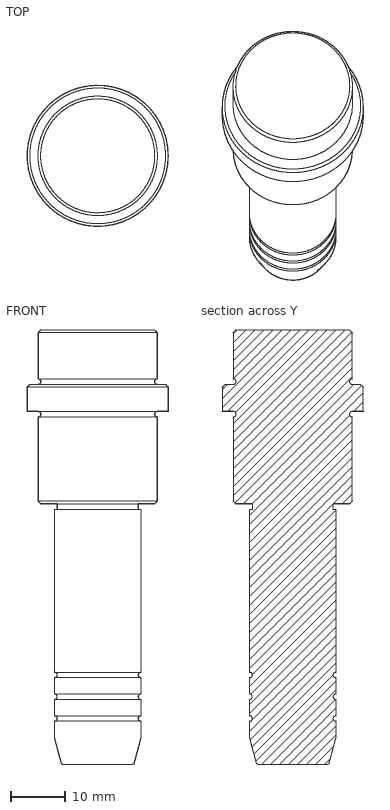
import cadquery as cq
import math

total_length = 80.0

body_radius = 11.0
collar_radius = 13.0
head_height = 10.0
collar_height = 5.0
body_height = 17.0
edge_chamfer = 0.5

shank_radius = 8.0
neck_depth = 0.5
neck_height = 1.0

taper_height = 5.0
taper_angle = 15.0
tip_fillet = 0.5

groove_radius = 0.5
shank_groove_pitch = 4.0
shank_groove_count = 3
lowest_groove_gap = 3.0

collar_top = total_length - head_height
collar_bottom = collar_top - collar_height
body_bottom = collar_bottom - body_height
tip_radius = shank_radius - taper_height * math.tan(math.radians(taper_angle))


def disc(radius, bottom, height):
    """Cylinder on the Z axis, standing on the given level."""
    return cq.Workplane("XY").workplane(offset=bottom).circle(radius).extrude(height)


def round_groove(surface_radius, level):
    """Ring of circular section centred on a cylinder's surface."""
    return cq.Workplane("XY").add(
        cq.Solid.makeTorus(surface_radius, groove_radius, cq.Vector(0, 0, level))
    )


def make_head():
    head = disc(body_radius, collar_top, head_height).faces(">Z").chamfer(edge_chamfer)
    return head.cut(round_groove(body_radius, collar_top + groove_radius))


def make_collar():
    return disc(collar_radius, collar_bottom, collar_height).faces(">Z").chamfer(edge_chamfer)


def make_body():
    body = disc(body_radius, body_bottom, body_height).faces("<Z").chamfer(edge_chamfer)
    return body.cut(round_groove(body_radius, collar_bottom - groove_radius))


def make_shank():
    neck_bottom = body_bottom - neck_height
    lowest_groove = taper_height + lowest_groove_gap + groove_radius
    shank = disc(shank_radius, taper_height, neck_bottom - taper_height)
    for index in range(shank_groove_count):
        level = lowest_groove + index * shank_groove_pitch
        shank = shank.cut(round_groove(shank_radius, level))
    neck = disc(shank_radius - neck_depth, neck_bottom, neck_height)
    return shank.union(neck)


def make_tip():
    tip = cq.Workplane("XY").add(cq.Solid.makeCone(tip_radius, shank_radius, taper_height))
    return tip.faces("<Z").fillet(tip_fillet)


result = make_head().union(make_collar()).union(make_body()).union(make_shank()).union(make_tip())